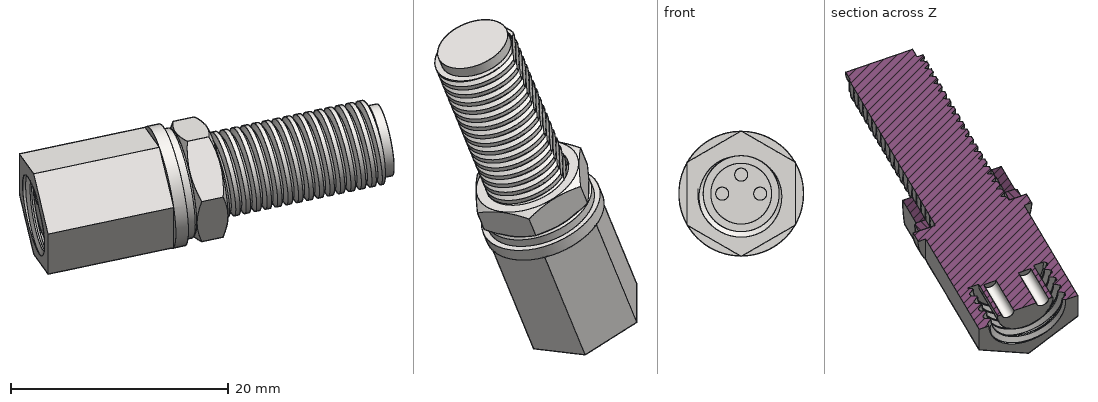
import cadquery as cq
import math


hex_across_flats = 10.0
hex_corner_diameter = hex_across_flats / math.cos(math.radians(30))
head_length = 12.0
flange_diameter = 11.5
flange_thickness = 1.2
flange_end = head_length + flange_thickness

thread_diameter = 8.0
thread_radius = thread_diameter / 2
pitch = 1.0
thread_depth = 0.5
flank_angle = 30.0
flat_offset = 3.5
tail_diameter = 6.8
tail_length = 1.0
total_length = 33.5
shank_end = total_length - tail_length
shank_groove_phase = -0.1

socket_depth = 5.0
socket_radius = thread_radius - thread_depth
socket_root_flat = 0.27
socket_groove_phase = -0.29
carrier_diameter = 5.6
carrier_setback = 0.75
contact_hole_diameter = 1.2
contact_circle_radius = 1.75
contact_hole_depth = 4.0
contact_angles = (0, 90, 180)

seal_diameter = 10.4
seal_thickness = 1.0
seal_chamfer = 0.2
seal_end = flange_end + seal_thickness
nut_thickness = 3.0
nut_face_diameter = 9.9
nut_chamfer_angle = 30.0

cut_margin = 0.1


def section_at(y):
    """Workplane across the axis at y; extrusions run along +Y and local Y points to -Z."""
    return cq.Workplane(cq.Plane(origin=(0, y, 0), xDir=(1, 0, 0), normal=(0, 1, 0)))


def cylinder(diameter, start, end):
    return section_at(start).circle(diameter / 2).extrude(end - start)


def hex_prism(start, end):
    """Hexagon with two corners on the Z axis."""
    return (
        section_at(start)
        .transformed(rotate=(0, 0, 90))
        .polygon(6, hex_corner_diameter)
        .extrude(end - start)
    )


def helical_groove(inner_radius, inner_width, outer_radius, outer_width, start, end):
    """Right-handed thread groove, centred on the +X side at y = start."""
    helix = cq.Wire.makeHelix(pitch, end - start, thread_radius)
    profile = cq.Workplane("XZ").moveTo(inner_radius, -inner_width / 2)
    if inner_width > 0:
        profile = profile.lineTo(inner_radius, inner_width / 2)
    profile = (
        profile.lineTo(outer_radius, outer_width / 2)
        .lineTo(outer_radius, -outer_width / 2)
        .close()
    )
    groove = profile.sweep(cq.Workplane(obj=helix), isFrenet=True)
    return groove.rotate((0, 0, 0), (1, 0, 0), -90).translate((0, start, 0))


def flank_width(depth):
    """Axial width gained by the two flanks of a groove over a radial depth."""
    return 2 * depth * math.tan(math.radians(flank_angle))


def make_shank():
    shank = cylinder(thread_diameter, flange_end, shank_end)
    groove_start = math.floor(flange_end) - pitch + shank_groove_phase
    groove_end = groove_start + pitch * math.ceil((shank_end - groove_start) / pitch + 1)
    groove = helical_groove(
        thread_radius - thread_depth,
        0,
        thread_radius + cut_margin,
        flank_width(thread_depth + cut_margin),
        groove_start,
        groove_end,
    )
    groove = groove.intersect(cylinder(1.5 * thread_diameter, flange_end, shank_end))
    flat_cut = cq.Workplane("XY").box(
        thread_diameter, 2 * total_length, 2 * thread_diameter
    ).translate((-flat_offset - thread_diameter / 2, 0, 0))
    return shank.cut(groove).cut(flat_cut)


def make_socket_space():
    """Empty space of the socket: threaded bore less the contact carrier standing in it."""
    bore = cylinder(2 * socket_radius, 0, socket_depth)
    groove_start = socket_groove_phase - pitch
    groove = helical_groove(
        socket_radius - cut_margin,
        socket_root_flat + flank_width(thread_depth + cut_margin),
        thread_radius,
        socket_root_flat,
        groove_start,
        groove_start + socket_depth + 3 * pitch,
    )
    groove = groove.intersect(cylinder(2 * thread_diameter, 0, socket_depth))
    carrier = cylinder(carrier_diameter, carrier_setback, socket_depth)
    return bore.union(groove).cut(carrier)


def make_contact_holes():
    centres = [
        (
            contact_circle_radius * math.cos(math.radians(angle)),
            -contact_circle_radius * math.sin(math.radians(angle)),
        )
        for angle in contact_angles
    ]
    return (
        section_at(carrier_setback)
        .pushPoints(centres)
        .circle(contact_hole_diameter / 2)
        .extrude(contact_hole_depth)
    )


def make_housing():
    head = hex_prism(0, head_length).cut(make_socket_space()).cut(make_contact_holes())
    flange = cylinder(flange_diameter, head_length, flange_end)
    tail = cylinder(tail_diameter, shank_end, total_length)
    return head.union(flange).union(make_shank()).union(tail)


def make_seal():
    ring = cylinder(seal_diameter, flange_end, seal_end).faces(">Y").chamfer(seal_chamfer)
    return ring.cut(cylinder(thread_diameter, flange_end, seal_end))


def make_nut():
    """Hexagon nut with its corners turned down to a cone at both ends."""
    nut_end = seal_end + nut_thickness
    face_radius = nut_face_diameter / 2
    widest_radius = hex_corner_diameter / 2 + cut_margin
    cone_height = (widest_radius - face_radius) * math.tan(math.radians(nut_chamfer_angle))
    turned = (
        cq.Workplane("XY")
        .moveTo(0, seal_end)
        .lineTo(face_radius, seal_end)
        .lineTo(widest_radius, seal_end + cone_height)
        .lineTo(widest_radius, nut_end - cone_height)
        .lineTo(face_radius, nut_end)
        .lineTo(0, nut_end)
        .close()
        .revolve(360, (0, 0, 0), (0, 1, 0))
    )
    bore = cylinder(thread_diameter, seal_end, nut_end)
    return hex_prism(seal_end, nut_end).intersect(turned).cut(bore)


housing = make_housing()
seal = make_seal()
nut = make_nut()

result = cq.Compound.makeCompound([housing.val(), seal.val(), nut.val()])